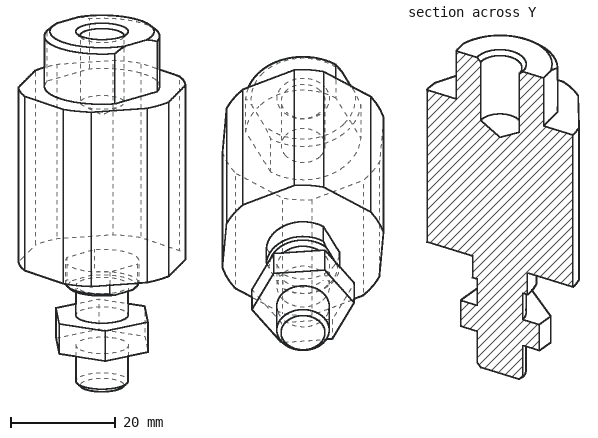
import cadquery as cq
import math

total_height = 71.0
nut_bottom = 8.0
nut_height = 6.0
body_bottom = 25.0
collar_height = 5.0
head_height = 11.0
body_top = total_height - head_height

thread_diameter = 10.0
thread_core_diameter = 8.4
thread_chamfer = (thread_diameter - thread_core_diameter) / 2
nut_across_flats = 17.0
nut_turn = 21.0
collar_diameter = 14.0
collar_across_flats = 12.1
collar_chamfer = 0.5
body_across_flats = 30.0
body_corner_diameter = 31.95
head_diameter = 22.0
head_across_flats = 19.1
head_chamfer_width = 1.1
head_chamfer_height = 0.9

socket_depth = 14.2
drill_point_angle = 118.0


def cylinder(diameter, bottom, height):
    return cq.Workplane("XY").workplane(offset=bottom).circle(diameter / 2).extrude(height)


def hexagon(across_flats, bottom, height, turn):
    """Hexagonal prism with its first corner turned from +X by the given degrees."""
    corner_diameter = across_flats / math.cos(math.radians(30))
    prism = cq.Workplane("XY").workplane(offset=bottom).polygon(6, corner_diameter).extrude(height)
    return prism.rotate((0, 0, 0), (0, 0, 1), turn)


def cut_side_flats(solid, across_flats, diameter):
    """Trim a round solid to two flats that face -X and +X."""
    slab = cq.Workplane("XY").box(across_flats, diameter, total_height, centered=(True, True, False))
    return solid.intersect(slab)


def make_stud():
    stud = cylinder(thread_diameter, 0, body_bottom)
    return stud.faces("<Z").chamfer(thread_chamfer)


def make_collar():
    collar = cylinder(collar_diameter, body_bottom - collar_height, collar_height)
    collar = collar.faces("<Z").chamfer(collar_chamfer)
    return cut_side_flats(collar, collar_across_flats, collar_diameter)


def make_body():
    """Hexagonal housing with its six corners turned round."""
    height = body_top - body_bottom
    prism = hexagon(body_across_flats, body_bottom, height, 0)
    return prism.intersect(cylinder(body_corner_diameter, body_bottom, height))


def make_head():
    radius = head_diameter / 2
    head = (
        cq.Workplane("XZ")
        .moveTo(0, body_top)
        .lineTo(radius, body_top)
        .lineTo(radius, total_height - head_chamfer_height)
        .lineTo(radius - head_chamfer_width, total_height)
        .lineTo(0, total_height)
        .close()
        .revolve(360, (0, 0, 0), (0, 1, 0))
    )
    return cut_side_flats(head, head_across_flats, head_diameter)


def make_socket():
    """Drilled hole with a chamfered mouth and a conical bottom."""
    mouth_radius = thread_diameter / 2
    core_radius = thread_core_diameter / 2
    hole_bottom = total_height - socket_depth
    point_depth = core_radius / math.tan(math.radians(drill_point_angle / 2))
    return (
        cq.Workplane("XZ")
        .moveTo(0, total_height)
        .lineTo(mouth_radius, total_height)
        .lineTo(core_radius, total_height - thread_chamfer)
        .lineTo(core_radius, hole_bottom)
        .lineTo(0, hole_bottom - point_depth)
        .close()
        .revolve(360, (0, 0, 0), (0, 1, 0))
    )


nut = hexagon(nut_across_flats, nut_bottom, nut_height, nut_turn)
result = make_stud().union(nut).union(make_collar()).union(make_body()).union(make_head())
result = result.cut(make_socket())